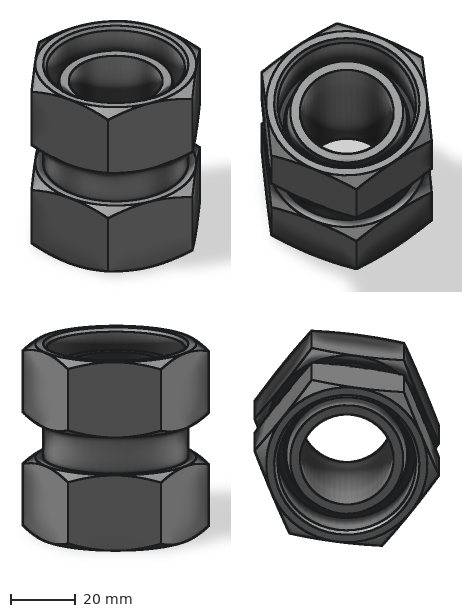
import cadquery as cq
import math

total_length = 60.0
across_flats = 50.0
hexagon_sides = 6
nut_length = 24.0
neck_diameter = 45.0
bore_diameter = 29.0

bevel_circle_diameter = 49.9
bevel_angle = 30.0

socket_diameter = 42.84
mouth_diameter = 45.0
socket_depth = 15.0

cone_tip_diameter = 35.0
cone_base_diameter = 39.0
cone_tip_recess = 6.0

groove_upper_diameter = 37.5
groove_lower_diameter = 38.5
groove_depth = 1.0

half_length = total_length / 2
across_corners = across_flats / math.cos(math.radians(180 / hexagon_sides))
tip_height = half_length - cone_tip_recess
floor_height = half_length - socket_depth


def cone_height_at(radius):
    """Height above the middle of the part where the sealing cone has a radius."""
    tip_radius = cone_tip_diameter / 2
    base_radius = cone_base_diameter / 2
    share_of_cone = (radius - tip_radius) / (base_radius - tip_radius)
    return tip_height - share_of_cone * (tip_height - floor_height)


def revolve_about_axis(profile):
    """Turn a closed (radius, height) profile about the Z axis."""
    return cq.Workplane("XZ").polyline(profile).close().revolve(360, (0, 0, 0), (0, 1, 0))


def make_nut():
    """Upper hexagon nut with corners on the Y axis and both ends bevelled."""
    bottom = half_length - nut_length
    hexagon = (
        cq.Workplane("XY", origin=(0, 0, bottom))
        .polygon(hexagon_sides, across_corners)
        .extrude(nut_length)
        .rotate((0, 0, 0), (0, 0, 1), 90)
    )
    inner_radius = bevel_circle_diameter / 2
    outer_radius = across_corners / 2
    drop = (outer_radius - inner_radius) * math.tan(math.radians(bevel_angle))
    envelope = revolve_about_axis([
        (0, bottom),
        (inner_radius, bottom),
        (outer_radius, bottom + drop),
        (outer_radius, half_length - drop),
        (inner_radius, half_length),
        (0, half_length),
    ])
    return hexagon.intersect(envelope)


def make_socket():
    """Upper ring-shaped cavity between the nut wall and the sealing cone."""
    socket_radius = socket_diameter / 2
    mouth_radius = mouth_diameter / 2
    mouth_depth = mouth_radius - socket_radius
    return revolve_about_axis([
        (0, half_length),
        (mouth_radius, half_length),
        (socket_radius, half_length - mouth_depth),
        (socket_radius, floor_height),
        (cone_base_diameter / 2, floor_height),
        (cone_tip_diameter / 2, tip_height),
        (0, tip_height),
    ])


def make_seal_groove():
    """Upper square-sided groove around the sealing cone."""
    upper_radius = groove_upper_diameter / 2
    lower_radius = groove_lower_diameter / 2
    upper_height = cone_height_at(upper_radius)
    lower_height = cone_height_at(lower_radius)
    bottom_radius = upper_radius - groove_depth
    return revolve_about_axis([
        (bottom_radius, upper_height),
        (upper_radius, upper_height),
        (lower_radius, lower_height),
        (bottom_radius, lower_height),
    ])


upper_nut = make_nut()
upper_cavity = make_socket().union(make_seal_groove())

neck_length = total_length - 2 * nut_length
neck = cq.Workplane("XY").circle(neck_diameter / 2).extrude(neck_length / 2, both=True)
bore = cq.Workplane("XY").circle(bore_diameter / 2).extrude(half_length, both=True)

result = (
    neck.union(upper_nut)
    .union(upper_nut.mirror("XY"))
    .cut(upper_cavity)
    .cut(upper_cavity.mirror("XY"))
    .cut(bore)
)